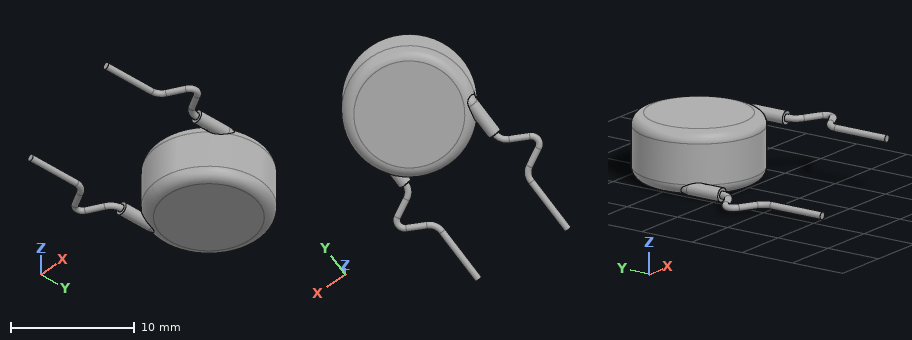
import cadquery as cq
import math


TOTAL_LENGTH = 21.0

DISC_HEIGHT = 5.5
DISC_DIAMETER = 11.0
DISC_RADIUS = DISC_DIAMETER / 2
EDGE_FILLET = 1.0

SLEEVE_DIAMETER = 1.2
SLEEVE_RADIUS = SLEEVE_DIAMETER / 2
SLEEVE_LENGTH = 3.1
SLEEVE_BEND_RADIUS = 1.0
SLEEVE_END_Y = -DISC_RADIUS

LEAD_ANGLES = (0, 180)
LEAD_DIAMETER = 0.65
LEAD_SPACING = 9.0
LEAD_X = LEAD_SPACING / 2
LEAD_Z = DISC_HEIGHT / 2 - SLEEVE_RADIUS
LEAD_LENGTH = TOTAL_LENGTH - DISC_DIAMETER
KINK_LENGTH = LEAD_LENGTH / 2
KINK_OFFSET = 2.52
KINK_TURN = math.radians(62)
SHOULDER_RADIUS = 1.25


def make_sleeve():
    """Upper sleeve: a round bar whose inner end bends down into the disc."""
    bar = (
        cq.Workplane("XZ", origin=(LEAD_X, SLEEVE_END_Y, LEAD_Z))
        .circle(SLEEVE_RADIUS)
        .extrude(-SLEEVE_LENGTH)
    )
    elbow = (
        cq.Workplane("XZ", origin=(LEAD_X, SLEEVE_END_Y + SLEEVE_LENGTH, LEAD_Z))
        .circle(SLEEVE_RADIUS)
        .revolve(90, (0.2, -SLEEVE_BEND_RADIUS), (-0.2, -SLEEVE_BEND_RADIUS))
    )
    return bar.union(elbow)


def turn_about_y(shape, angle):
    """Turn a shape about the Y axis; a half turn takes the upper right lead to the lower left one."""
    return shape.rotate((0, 0, 0), (0, 1, 0), angle)


def make_housing():
    """Disc with rounded edges, carrying both sleeves."""
    housing = (
        cq.Workplane("XY", origin=(0, 0, -DISC_HEIGHT / 2))
        .circle(DISC_RADIUS)
        .extrude(DISC_HEIGHT)
        .edges("%CIRCLE")
        .fillet(EDGE_FILLET)
    )
    for angle in LEAD_ANGLES:
        housing = housing.union(turn_about_y(make_sleeve(), angle))
    return housing.solids()


def make_lead_path():
    """Lead centreline: bend out to the kink's peak, mirrored back, then a straight tail."""
    half_kink = KINK_LENGTH / 2
    sine = math.sin(KINK_TURN)
    cosine = math.cos(KINK_TURN)

    radius_sum = (half_kink * sine - KINK_OFFSET * cosine) / (1 - cosine)
    peak_radius = radius_sum - SHOULDER_RADIUS

    def shoulder_point(angle):
        return SHOULDER_RADIUS * (1 - math.cos(angle)), -SHOULDER_RADIUS * math.sin(angle)

    def mirrored(point):
        return point[0], -KINK_LENGTH - point[1]

    shoulder_mid = shoulder_point(KINK_TURN / 2)
    shoulder_end = shoulder_point(KINK_TURN)
    peak_start = (KINK_OFFSET - peak_radius * (1 - cosine), peak_radius * sine - half_kink)
    peak = (KINK_OFFSET, -half_kink)

    return (
        cq.Workplane("XY", origin=(LEAD_X, SLEEVE_END_Y, LEAD_Z))
        .moveTo(0, 0)
        .threePointArc(shoulder_mid, shoulder_end)
        .lineTo(*peak_start)
        .threePointArc(peak, mirrored(peak_start))
        .lineTo(*mirrored(shoulder_end))
        .threePointArc(mirrored(shoulder_mid), (0, -KINK_LENGTH))
        .lineTo(0, -LEAD_LENGTH)
    )


def make_lead():
    """Upper lead: round wire that starts on the sleeve's end face."""
    return (
        cq.Workplane("XZ", origin=(LEAD_X, SLEEVE_END_Y, LEAD_Z))
        .circle(LEAD_DIAMETER / 2)
        .sweep(make_lead_path())
    )


housing = make_housing()
leads = [turn_about_y(make_lead(), angle) for angle in LEAD_ANGLES]

result = cq.Compound.makeCompound([housing.val(), *[lead.val() for lead in leads]])